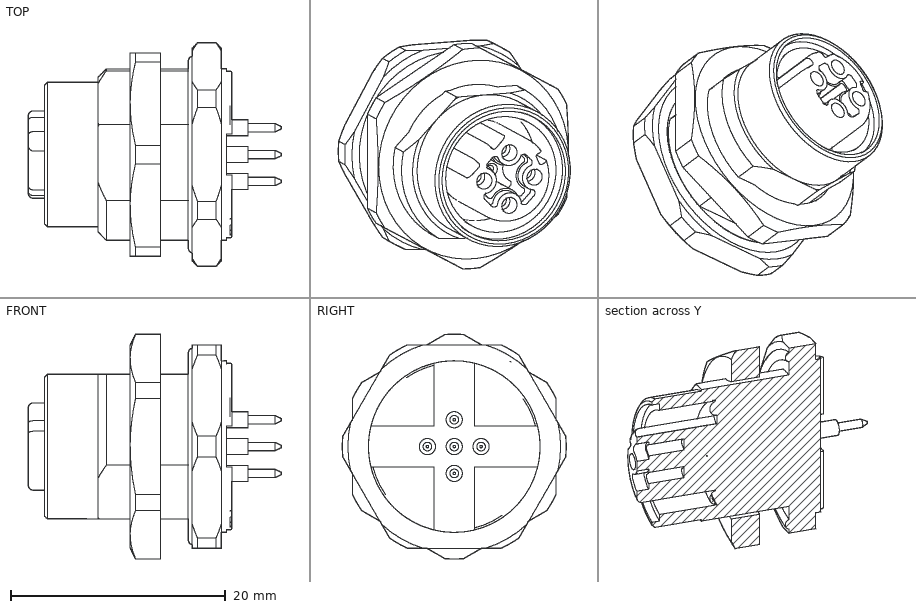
import cadquery as cq
import math


SHELL_FRONT = 1.5
LEDGE_X = 2.27
BODY_FRONT = 6.5
CAVITY_FLOOR = 8.02
NUT_FRONT = 9.49
NUT_REAR = 12.35
FLANGE_FRONT = 15.3
FLANGE_REAR = 18.0
SLOT_FLOOR = 18.5
BODY_REAR = 19.0
PIN_SHOULDER = 20.5
PIN_CONE = 23.0
PIN_TIP = 23.6

SHELL_RADIUS = 13.5 / 2
SHELL_CHAMFER = 0.28
MOUTH_RADIUS = 12.3 / 2
CAVITY_RADIUS = 11.0 / 2
BODY_RADIUS = 16.0 / 2
BODY_CHAMFER = 0.8
REAR_ROUND = 0.2
REAR_SLOT_WIDTH = 3.8

HEX_FLATS = 18.97
NUT_TIP_RADIUS = 20.98 / 2
FLANGE_TIP_RADIUS = 20.89 / 2
NUT_BORE_RADIUS = 7.15
NUT_FACE_RADIUS = 9.45
NUT_CHAMFER_LENGTH = 0.52
FLANGE_FACE_RADIUS = 9.91
FLANGE_CHAMFER_LENGTH = 0.5

FLANGE_SEAL_RADIUS = 8.68
FLANGE_SEAL_TUBE = 0.52
FLANGE_SEAL_REACH = 0.38

INSERT_RADIUS = 4.08
INSERT_ROUND = 0.5
KEY_WIDTH = 1.89
KEY_SEAT = 3.12
NOTCH_WIDTH = 1.1
NOTCH_SEAT = 3.23
NOTCH_OFFSET = 0.24
NOTCH_ANGLE = 155.0
CODING_ROUND = 0.21

CONTACT_PITCH_RADIUS = 2.5
SOCKET_RADIUS = 1.5 / 2
SOCKET_END_RADIUS = 1.15 / 2
SOCKET_DEPTH = 1.89
SOCKET_CONE_LENGTH = 0.47
PIN_BASE_RADIUS = 1.5 / 2
PIN_RADIUS = 0.8 / 2
PIN_TIP_RADIUS = 0.12

RECESS_FLOOR = 1.18
RECESS_ARC_RADIUS = 1.2
RECESS_UPPER_EXTENT = 2.25
RECESS_UPPER_CUT = 0.64
RECESS_LOWER_EXTENT = 2.53
RECESS_LOWER_CUT = 0.85
POCKET_FLOOR = 4.72
POCKET_ARC_RADIUS = 1.4
POCKET_EXTENT = 1.95
POCKET_CUT = 0.38
ARM_START = 0.7
ARM_ROUND = 0.21
CENTRE_HOLE_RADIUS = 1.15 / 2
CENTRE_HOLE_END_RADIUS = 0.33
CENTRE_HOLE_DEPTH = 0.35

CONTACT_CENTRES = [
    (0, 0),
    (CONTACT_PITCH_RADIUS, 0),
    (-CONTACT_PITCH_RADIUS, 0),
    (0, CONTACT_PITCH_RADIUS),
    (0, -CONTACT_PITCH_RADIUS),
]
SOCKET_CENTRES = CONTACT_CENTRES[1:]


def plane_at(x):
    """Workplane across the axis: local x is Y, local y is Z, normal is +X."""
    return cq.Workplane("YZ", origin=(x, 0, 0))


def disc(x_start, x_end, radius):
    return plane_at(x_start).circle(radius).extrude(x_end - x_start)


def turned(points):
    """Solid of revolution about X from (x, radius) points."""
    return cq.Workplane("XY").polyline(points).close().revolve(360, (0, 0, 0), (1, 0, 0))


def ring(x, ring_radius, tube_radius):
    """Round-section ring about the axis."""
    torus = cq.Solid.makeTorus(ring_radius, tube_radius, cq.Vector(x, 0, 0), cq.Vector(1, 0, 0))
    return cq.Workplane("YZ").newObject([torus])


def block(x_start, x_end, y_range, z_range):
    """Box between two stations, given by its Y and Z limits."""
    size = (x_end - x_start, y_range[1] - y_range[0], z_range[1] - z_range[0])
    box = cq.Workplane("XY").box(*size, centered=False)
    return box.translate((x_start, y_range[0], z_range[0]))


def turn(solid, angle):
    """Rotate about X; a positive angle leads from +Y towards +Z."""
    return solid.rotate((0, 0, 0), (1, 0, 0), angle)


def hexagon(x_start, x_end, first_corner_angle):
    """Hexagonal prism; the corner angle is measured from +Y."""
    corner_radius = HEX_FLATS / math.sqrt(3)
    prism = plane_at(x_start).polygon(6, 2 * corner_radius).extrude(x_end - x_start)
    return turn(prism, first_corner_angle)


def make_body():
    """Shell sleeve and threaded body with four flats, two upright and two diagonal."""
    body = turned([
        (BODY_FRONT, 0),
        (BODY_FRONT, BODY_RADIUS - BODY_CHAMFER),
        (BODY_FRONT + BODY_CHAMFER, BODY_RADIUS),
        (FLANGE_FRONT, BODY_RADIUS),
        (FLANGE_FRONT, 0),
    ])
    half = SHELL_RADIUS
    span = (-BODY_RADIUS, BODY_RADIUS)
    upright = block(BODY_FRONT, FLANGE_FRONT, span, (-half, half))
    diagonal = turn(upright, -45)
    body = body.intersect(upright).intersect(diagonal)

    shell = disc(SHELL_FRONT, BODY_FRONT + BODY_CHAMFER, SHELL_RADIUS).faces("<X").chamfer(SHELL_CHAMFER)
    body = body.union(shell)
    body = body.cut(disc(SHELL_FRONT, LEDGE_X, MOUTH_RADIUS))
    return body.cut(disc(LEDGE_X, CAVITY_FLOOR, CAVITY_RADIUS))


def make_nut():
    """Hexagon nut, chamfered at the front only."""
    envelope = turned([
        (NUT_FRONT, NUT_BORE_RADIUS),
        (NUT_FRONT, NUT_FACE_RADIUS),
        (NUT_FRONT + NUT_CHAMFER_LENGTH, NUT_TIP_RADIUS),
        (NUT_REAR, NUT_TIP_RADIUS),
        (NUT_REAR, NUT_BORE_RADIUS),
    ])
    return hexagon(NUT_FRONT, NUT_REAR, 30).intersect(envelope)


def make_flange():
    """Hexagon flange, chamfered on both sides, with its sealing ring."""
    envelope = turned([
        (FLANGE_FRONT, 0),
        (FLANGE_FRONT, FLANGE_FACE_RADIUS),
        (FLANGE_FRONT + FLANGE_CHAMFER_LENGTH, FLANGE_TIP_RADIUS),
        (FLANGE_REAR - FLANGE_CHAMFER_LENGTH, FLANGE_TIP_RADIUS),
        (FLANGE_REAR, FLANGE_FACE_RADIUS),
        (FLANGE_REAR, 0),
    ])
    flange = hexagon(FLANGE_FRONT, FLANGE_REAR, 0).intersect(envelope)
    seal_x = FLANGE_FRONT - FLANGE_SEAL_REACH + FLANGE_SEAL_TUBE
    return flange.union(ring(seal_x, FLANGE_SEAL_RADIUS, FLANGE_SEAL_TUBE))


def make_rear():
    """Rear end of the body with crossed slots around the pins."""
    rear = disc(FLANGE_REAR, SLOT_FLOOR, BODY_RADIUS)
    pads = disc(SLOT_FLOOR, BODY_REAR, BODY_RADIUS).faces(">X").fillet(REAR_ROUND)
    half = REAR_SLOT_WIDTH / 2
    slot = block(SLOT_FLOOR, BODY_REAR, (-BODY_RADIUS, BODY_RADIUS), (-half, half))
    pads = pads.cut(slot).cut(turn(slot, 90))
    return rear.union(pads)


def make_pin(y, z):
    """Stepped solder pin with a pointed tip."""
    pin = turned([
        (SLOT_FLOOR, 0),
        (SLOT_FLOOR, PIN_BASE_RADIUS),
        (PIN_SHOULDER, PIN_BASE_RADIUS),
        (PIN_SHOULDER, PIN_RADIUS),
        (PIN_CONE, PIN_RADIUS),
        (PIN_TIP, PIN_TIP_RADIUS),
        (PIN_TIP, 0),
    ])
    return pin.translate((0, y, z))


def make_socket(y, z):
    """Contact hole ending in a short cone."""
    socket = turned([
        (0, 0),
        (0, SOCKET_RADIUS),
        (SOCKET_DEPTH, SOCKET_RADIUS),
        (SOCKET_DEPTH + SOCKET_CONE_LENGTH, SOCKET_END_RADIUS),
        (SOCKET_DEPTH + SOCKET_CONE_LENGTH, 0),
    ])
    return socket.translate((0, y, z))


def make_cross(x_start, x_end, arc_radius, upper_end, lower_end):
    """Diagonal cross hollowed around the sockets; each end is (extent along Y and Z, corner cut)."""
    hub_half = CONTACT_PITCH_RADIUS / math.sqrt(2)
    cross = turn(block(x_start, x_end, (-hub_half, hub_half), (-hub_half, hub_half)), 45)
    for index, (extent, corner_cut) in enumerate([upper_end, upper_end, lower_end, lower_end]):
        arm_end = block(x_start, x_end, (ARM_START, extent), (ARM_START, extent))
        arm_end = arm_end.edges("|X and >Y and >Z").chamfer(corner_cut)
        cross = cross.union(turn(arm_end, 90 * index))
    clearance = plane_at(x_start).pushPoints(SOCKET_CENTRES).circle(arc_radius).extrude(x_end - x_start)
    cross = cross.cut(clearance)

    end_corners = cross.edges("|X").filter(
        lambda edge: max(abs(edge.Center().y), abs(edge.Center().z)) > hub_half
    )
    return cross.newObject(end_corners.vals()).fillet(ARM_ROUND)


def make_insert():
    """Contact carrier with a coding key, a coding notch, sockets and a cross recess."""
    insert = disc(0, CAVITY_FLOOR, INSERT_RADIUS).faces("<X").fillet(INSERT_ROUND)

    step = block(0, CAVITY_FLOOR, (KEY_SEAT, INSERT_RADIUS), (KEY_WIDTH / 2, INSERT_RADIUS))
    step = step.edges("|X and <Y and <Z").fillet(CODING_ROUND)
    for key_step in (step, step.mirror("XY")):
        insert = insert.cut(turn(key_step, 45))

    notch_low = -NOTCH_OFFSET - NOTCH_WIDTH / 2
    notch = block(0, CAVITY_FLOOR, (NOTCH_SEAT, INSERT_RADIUS), (notch_low, notch_low + NOTCH_WIDTH))
    notch = notch.edges("|X and <Y").fillet(CODING_ROUND)
    insert = insert.cut(turn(notch, NOTCH_ANGLE))

    for centre in SOCKET_CENTRES:
        insert = insert.cut(make_socket(*centre))

    recess_upper = (RECESS_UPPER_EXTENT, RECESS_UPPER_CUT)
    recess_lower = (RECESS_LOWER_EXTENT, RECESS_LOWER_CUT)
    insert = insert.cut(make_cross(0, RECESS_FLOOR, RECESS_ARC_RADIUS, recess_upper, recess_lower))

    pocket_end = (POCKET_EXTENT, POCKET_CUT)
    insert = insert.cut(make_cross(RECESS_FLOOR, POCKET_FLOOR, POCKET_ARC_RADIUS, pocket_end, pocket_end))

    centre_hole = turned([
        (POCKET_FLOOR, 0),
        (POCKET_FLOOR, CENTRE_HOLE_RADIUS),
        (POCKET_FLOOR + CENTRE_HOLE_DEPTH, CENTRE_HOLE_END_RADIUS),
        (POCKET_FLOOR + CENTRE_HOLE_DEPTH, 0),
    ])
    return insert.cut(centre_hole)


def make_cavity_seal():
    """Sealing ring filling the gap between insert and cavity wall, half sunk in the floor."""
    tube = (CAVITY_RADIUS - INSERT_RADIUS) / 2
    return ring(CAVITY_FLOOR, INSERT_RADIUS + tube, tube)


result = make_body().union(make_nut()).union(make_flange()).union(make_rear())
result = result.union(make_insert()).union(make_cavity_seal())
for centre in CONTACT_CENTRES:
    result = result.union(make_pin(*centre))